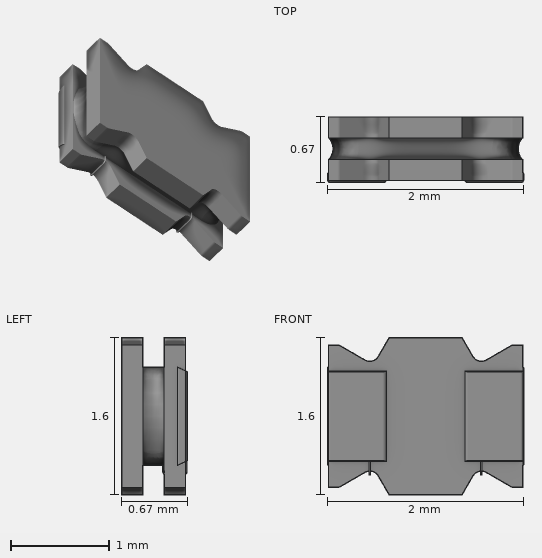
import cadquery as cq
import math


core_depth = 0.65
flange_thickness = core_depth / 3
gap = core_depth - 2 * flange_thickness
inner_face_y = -gap / 2
outer_face_y = -core_depth / 2

flange_half_width = 0.99
flange_half_height = 0.8
crown_half_width = 0.372
shoulder_half_height = 0.725
shoulder_blend = 0.05
notch_radius = 0.1
notch_floor = 0.56
notch_inner_angle = math.radians(60)
notch_outer_angle = math.radians(30)

winding_half_height = 0.5
winding_waist_radius = 0.945
winding_rim_radius = 0.985
winding_corner_radius = 0.2

terminal_outer_x = 1.0
terminal_length = 0.6
terminal_face_thickness = 0.02
terminal_side_reach = 0.082
terminal_back_half_height = 0.5
terminal_front_half_height = 0.452
terminal_corner_radius = 0.032
terminal_side_end_radius = 0.025
terminal_face_end_radius = 0.04

wire_diameter = 0.017
wire_bend_radius = 0.032
wire_bend_start_z = -notch_floor

notch_center_z = notch_floor + notch_radius
inner_tangent_z = notch_center_z - notch_radius * math.cos(notch_inner_angle)
inner_tangent_x = crown_half_width + (flange_half_height - inner_tangent_z) / math.tan(notch_inner_angle)
notch_x = inner_tangent_x + notch_radius * math.sin(notch_inner_angle)
outer_tangent_x = notch_x + notch_radius * math.sin(notch_outer_angle)
outer_tangent_z = notch_center_z - notch_radius * math.cos(notch_outer_angle)
shoulder_x = outer_tangent_x + (shoulder_half_height - outer_tangent_z) / math.tan(notch_outer_angle)


def extrude_along_y(sketch, depth):
    """Extrude an XZ sketch toward +Y."""
    return sketch.extrude(-depth)


def make_notch_cutter():
    """Region removed from the upper right corner of a flange, notch and corner step included."""
    cutter = (
        cq.Workplane("XZ")
        .moveTo(crown_half_width, flange_half_height)
        .lineTo(inner_tangent_x, inner_tangent_z)
        .threePointArc((notch_x, notch_floor), (outer_tangent_x, outer_tangent_z))
        .lineTo(shoulder_x, shoulder_half_height)
        .lineTo(flange_half_width, shoulder_half_height)
        .lineTo(flange_half_width, flange_half_height)
        .close()
    )
    return extrude_along_y(cutter, flange_thickness)


def make_flange(start_y):
    blank = cq.Workplane("XZ").rect(2 * flange_half_width, 2 * flange_half_height)
    flange = extrude_along_y(blank, flange_thickness)
    right_notch = make_notch_cutter()
    left_notch = right_notch.mirror("YZ")
    for notch in (right_notch, left_notch):
        flange = flange.cut(notch).cut(notch.mirror("XY"))
    for x in (-shoulder_x, shoulder_x):
        for z in (-shoulder_half_height, shoulder_half_height):
            edge = cq.selectors.NearestToPointSelector((x, flange_thickness / 2, z))
            flange = flange.edges(edge).fillet(shoulder_blend)
    return flange.translate((0, start_y, 0))


def make_winding():
    half_profile = (
        cq.Workplane("XY")
        .moveTo(0, -gap / 2)
        .lineTo(winding_rim_radius, -gap / 2)
        .threePointArc((winding_waist_radius, 0), (winding_rim_radius, gap / 2))
        .lineTo(0, gap / 2)
        .close()
    )
    spool = half_profile.revolve(360, (0, 0, 0), (0, 1, 0))
    slab = cq.Workplane("XY").box(2 * flange_half_width, gap, 2 * winding_half_height)
    winding = spool.intersect(slab)
    corner_x = math.sqrt(winding_waist_radius**2 - winding_half_height**2)
    corners = [(x, z) for x in (-corner_x, corner_x) for z in (-winding_half_height, winding_half_height)]
    for x, z in corners:
        edge = cq.selectors.NearestToPointSelector((x, 0, z))
        winding = winding.edges(edge).fillet(winding_corner_radius)
    return winding


def make_core():
    front_flange = make_flange(outer_face_y)
    rear_flange = make_flange(gap / 2)
    return front_flange.union(make_winding()).union(rear_flange)


def end_round_length(radius, thickness):
    """Length taken by an arc that leaves the outer surface tangentially and ends at the core."""
    return math.sqrt(radius**2 - (radius - thickness)**2)


def make_left_terminal():
    outer_x = -terminal_outer_x
    core_x = -flange_half_width
    inner_end_x = outer_x + terminal_length
    front_y = outer_face_y - terminal_face_thickness
    back_y = outer_face_y + terminal_side_reach
    side_round = end_round_length(terminal_side_end_radius, terminal_outer_x - flange_half_width)
    face_round = end_round_length(terminal_face_end_radius, terminal_face_thickness)
    outline = (
        cq.Workplane("XY")
        .moveTo(core_x, outer_face_y)
        .lineTo(core_x, back_y)
        .radiusArc((outer_x, back_y - side_round), -terminal_side_end_radius)
        .lineTo(outer_x, front_y + terminal_corner_radius)
        .radiusArc((outer_x + terminal_corner_radius, front_y), -terminal_corner_radius)
        .lineTo(inner_end_x - face_round, front_y)
        .radiusArc((inner_end_x, outer_face_y), -terminal_face_end_radius)
        .close()
    )
    cap = outline.extrude(terminal_back_half_height, both=True)
    taper = (
        cq.Workplane("YZ", origin=(outer_x, 0, 0))
        .moveTo(back_y, terminal_back_half_height)
        .lineTo(front_y, terminal_front_half_height)
        .lineTo(front_y, -terminal_front_half_height)
        .lineTo(back_y, -terminal_back_half_height)
        .close()
        .extrude(terminal_length)
    )
    return cap.intersect(taper)


def make_left_lead(terminal):
    """U-shaped wire that rests on both faces of the flange and ends at the terminal."""
    rear_y = inner_face_y + wire_diameter / 2
    front_y = outer_face_y - wire_diameter / 2
    bottom_z = wire_bend_start_z - wire_bend_radius
    bend_offset = wire_bend_radius * (1 - math.sqrt(0.5))
    path = (
        cq.Workplane("YZ", origin=(-notch_x, 0, 0))
        .moveTo(rear_y, -winding_half_height)
        .lineTo(rear_y, wire_bend_start_z)
        .threePointArc((rear_y - bend_offset, bottom_z + bend_offset), (rear_y - wire_bend_radius, bottom_z))
        .lineTo(front_y + wire_bend_radius, bottom_z)
        .threePointArc((front_y + bend_offset, bottom_z + bend_offset), (front_y, wire_bend_start_z))
        .lineTo(front_y, -terminal_front_half_height)
    )
    section = cq.Workplane("XY", origin=(-notch_x, rear_y, -winding_half_height)).circle(wire_diameter / 2)
    return section.sweep(path).cut(terminal)


def with_mirrored_copy(left_body):
    """The left body's solid and its mirror image on the right."""
    return [body.solids().val() for body in (left_body, left_body.mirror("YZ"))]


core = make_core()
left_terminal = make_left_terminal()
left_lead = make_left_lead(left_terminal)
terminals = with_mirrored_copy(left_terminal)
leads = with_mirrored_copy(left_lead)

result = cq.Compound.makeCompound([core.solids().val(), *terminals, *leads])